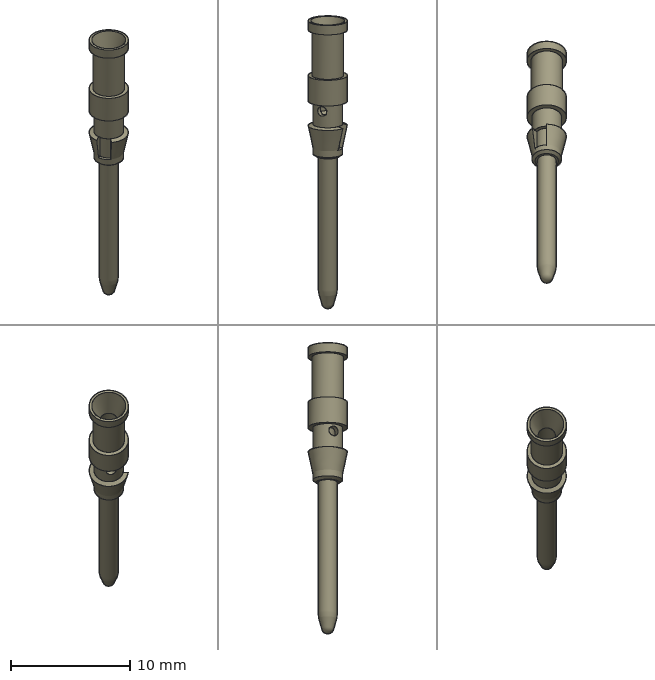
import cadquery as cq
import math

total_height = 25.0
nose_z = 0.38
tip_taper_z = 1.28
tip_blend_z = 1.8
chamfer_bottom_z = 13.25
band_bottom_z = 13.45
clip_bottom_z = 13.98
clip_rim_z = 15.9
clip_top_z = 16.02
collar_bottom_z = 18.02
collar_top_z = 20.25
head_bottom_z = 24.2

nose_radius = 0.5
tip_taper_radius = 0.75
pin_radius = 0.8
chamfer_radius = 0.98
waist_radius = 1.25
neck_radius = 1.32
flange_radius = 1.65
clip_core_radius = 0.98

mouth_radius = 1.42
bore_radius = 0.72
funnel_depth = 2.0
bore_bottom_z = 17.0
drill_half_angle = 59.0
hole_diameter = 0.82
hole_z = 17.42

split_left_x = -0.48
split_right_angle = 29.0


def make_body():
    """Revolve the solid outline of the contact, from tip to head."""
    nose_sphere_radius = (nose_radius**2 + nose_z**2) / (2 * nose_z)
    half_arc = math.asin(nose_radius / nose_sphere_radius) / 2
    nose_mid = (
        nose_sphere_radius * math.sin(half_arc),
        nose_sphere_radius * (1 - math.cos(half_arc)),
    )
    outline = (
        cq.Workplane("XZ")
        .moveTo(0, 0)
        .threePointArc(nose_mid, (nose_radius, nose_z))
        .lineTo(tip_taper_radius, tip_taper_z)
        .tangentArcPoint((pin_radius, tip_blend_z), relative=False)
        .lineTo(pin_radius, chamfer_bottom_z)
        .lineTo(chamfer_radius, chamfer_bottom_z)
        .lineTo(waist_radius, band_bottom_z)
        .lineTo(waist_radius, clip_bottom_z)
        .lineTo(flange_radius, clip_rim_z)
        .lineTo(waist_radius, clip_top_z)
        .lineTo(waist_radius, collar_bottom_z)
        .lineTo(flange_radius, collar_bottom_z)
        .lineTo(flange_radius, collar_top_z)
        .lineTo(neck_radius, collar_top_z)
        .lineTo(neck_radius, head_bottom_z)
        .lineTo(flange_radius, head_bottom_z)
        .lineTo(flange_radius, total_height)
        .lineTo(0, total_height)
        .close()
    )
    return outline.revolve(360, (0, 0, 0), (0, 1, 0))


def make_socket():
    """Funnel mouth, straight bore and conical drill point."""
    drill_point_depth = bore_radius / math.tan(math.radians(drill_half_angle))
    outline = (
        cq.Workplane("XZ")
        .moveTo(0, bore_bottom_z - drill_point_depth)
        .lineTo(bore_radius, bore_bottom_z)
        .lineTo(bore_radius, total_height - funnel_depth)
        .lineTo(mouth_radius, total_height)
        .lineTo(0, total_height)
        .close()
    )
    return outline.revolve(360, (0, 0, 0), (0, 1, 0))


def make_inspection_hole():
    """Round hole from the -X side into the bore."""
    return (
        cq.Workplane("YZ")
        .center(0, hole_z)
        .circle(hole_diameter / 2)
        .extrude(-flange_radius)
    )


def make_clip_split():
    """Opening on the -Y side that bares the round core inside the clip."""
    split_height = clip_top_z - clip_bottom_z
    outer_y = -2 * flange_radius
    right_x = -outer_y * math.tan(math.radians(split_right_angle))
    wedge = (
        cq.Workplane("XY", origin=(0, 0, clip_bottom_z))
        .polyline([(split_left_x, 0), (0, 0), (right_x, outer_y), (split_left_x, outer_y)])
        .close()
        .extrude(split_height)
    )
    core = (
        cq.Workplane("XY", origin=(0, 0, clip_bottom_z))
        .circle(clip_core_radius)
        .extrude(split_height)
    )
    return wedge.cut(core)


result = (
    make_body()
    .cut(make_socket())
    .cut(make_inspection_hole())
    .cut(make_clip_split())
)